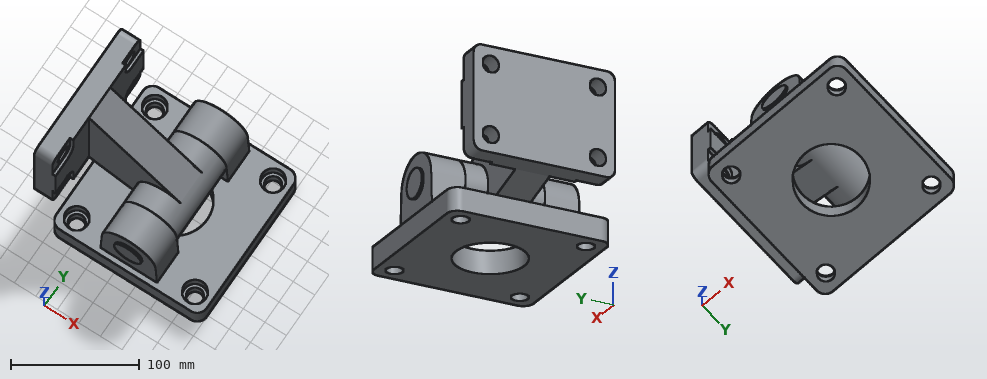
import cadquery as cq
import math

total_height = 135.0
axis_height = 50.0
boss_diameter = 50.0
boss_radius = boss_diameter / 2

base_side = 140.0
base_thickness = 20.0
base_corner_radius = 9.0
base_window_diameter = 60.0
counterbore_diameter = 20.0
counterbore_depth = 10.0

screw_hole_diameter = 14.0
screw_hole_inset = 15.0

lug_thickness = 30.0
lug_outer_y = 65.0
lug_foot_half_width = 26.2
lug_inner_y = lug_outer_y - lug_thickness

pin_diameter = 25.0
pin_half_length = 66.7
arm_thickness = 30.0

plate_thickness = 20.0
plate_width = 124.0
plate_height = 90.0
plate_corner_radius = 7.2
plate_inner_x = -base_side / 2
plate_outer_x = plate_inner_x - plate_thickness
plate_bottom = total_height - plate_height
plate_center_height = plate_bottom + plate_height / 2

recess_side = 25.0
recess_corner_radius = 10.0
recess_depth = 3.0


def tangent_point(x, z, side):
    """Touch point on the boss circle of a line from (x, z).

    Seen with X right and Z up, side = 1 turns anticlockwise and -1 clockwise
    from the direction that points from the axis to (x, z).
    """
    height_above_axis = z - axis_height
    distance = math.hypot(x, height_above_axis)
    angle = math.atan2(height_above_axis, x) + side * math.acos(boss_radius / distance)
    return (boss_radius * math.cos(angle), axis_height + boss_radius * math.sin(angle))


def cylinder_along_y(diameter, y_start, y_end):
    """Cylinder on the hinge axis."""
    return (
        cq.Workplane("XZ", origin=(0, y_start, axis_height))
        .circle(diameter / 2)
        .extrude(y_start - y_end)
    )


def make_lug(y_start):
    """Tapered lug with a round top, bored for the pin."""
    right_touch = tangent_point(lug_foot_half_width, base_thickness, 1)
    left_touch = (-right_touch[0], right_touch[1])
    lug = (
        cq.Workplane("XZ", origin=(0, y_start, 0))
        .moveTo(-lug_foot_half_width, base_thickness)
        .lineTo(lug_foot_half_width, base_thickness)
        .lineTo(*right_touch)
        .threePointArc((0, axis_height + boss_radius), left_touch)
        .close()
        .extrude(-lug_thickness)
    )
    return lug.cut(cylinder_along_y(pin_diameter, y_start, y_start + lug_thickness))


def make_base():
    """Square base with four counterbored holes, a round window and two lugs."""
    hole_spacing = base_side - 2 * screw_hole_inset
    base = (
        cq.Workplane("XY")
        .rect(base_side, base_side)
        .extrude(base_thickness)
        .edges("|Z")
        .fillet(base_corner_radius)
        .faces(">Z")
        .workplane()
        .hole(base_window_diameter)
        .faces(">Z")
        .workplane()
        .rect(hole_spacing, hole_spacing, forConstruction=True)
        .vertices()
        .cboreHole(screw_hole_diameter, counterbore_diameter, counterbore_depth)
    )
    for y_start in (-lug_outer_y, lug_inner_y):
        base = base.union(make_lug(y_start))
    return base


def make_recess(y_side, z_side):
    """Cutter for one plate corner, open to both edges and round at its inner corner."""
    return (
        cq.Workplane(
            "YZ",
            origin=(
                plate_inner_x - recess_depth,
                y_side * plate_width / 2,
                plate_center_height + z_side * plate_height / 2,
            ),
        )
        .rect(2 * recess_side, 2 * recess_side)
        .extrude(recess_depth)
        .edges("|X")
        .fillet(recess_corner_radius)
    )


def make_plate():
    """Upright mounting plate with four holes in recessed corners."""
    plate = (
        cq.Workplane("YZ", origin=(plate_outer_x, 0, plate_center_height))
        .rect(plate_width, plate_height)
        .extrude(plate_thickness)
        .edges("|X")
        .fillet(plate_corner_radius)
    )
    holes = (
        cq.Workplane("YZ", origin=(plate_outer_x, 0, plate_center_height))
        .rect(
            plate_width - 2 * screw_hole_inset,
            plate_height - 2 * screw_hole_inset,
            forConstruction=True,
        )
        .vertices()
        .circle(screw_hole_diameter / 2)
        .extrude(plate_thickness)
    )
    plate = plate.cut(holes)
    for y_side in (-1, 1):
        for z_side in (-1, 1):
            plate = plate.cut(make_recess(y_side, z_side))
    return plate


def make_web():
    """Web whose sloping edges run from the plate tangent to the boss."""
    upper_touch = tangent_point(plate_inner_x, total_height, -1)
    lower_touch = tangent_point(plate_inner_x, plate_bottom, 1)
    return (
        cq.Workplane("XZ", origin=(0, -arm_thickness / 2, 0))
        .moveTo(plate_inner_x, plate_bottom)
        .lineTo(*lower_touch)
        .threePointArc((boss_radius, axis_height), upper_touch)
        .lineTo(plate_inner_x, total_height)
        .close()
        .extrude(-arm_thickness)
    )


def make_arm():
    """Swinging arm: plate, web, boss between the lugs and pin through them."""
    boss = cylinder_along_y(boss_diameter, -lug_inner_y, lug_inner_y)
    pin = cylinder_along_y(pin_diameter, -pin_half_length, pin_half_length)
    return make_plate().union(make_web()).union(boss).union(pin)


base = make_base()
arm = make_arm()

result = cq.Compound.makeCompound([base.solids().val(), arm.solids().val()])